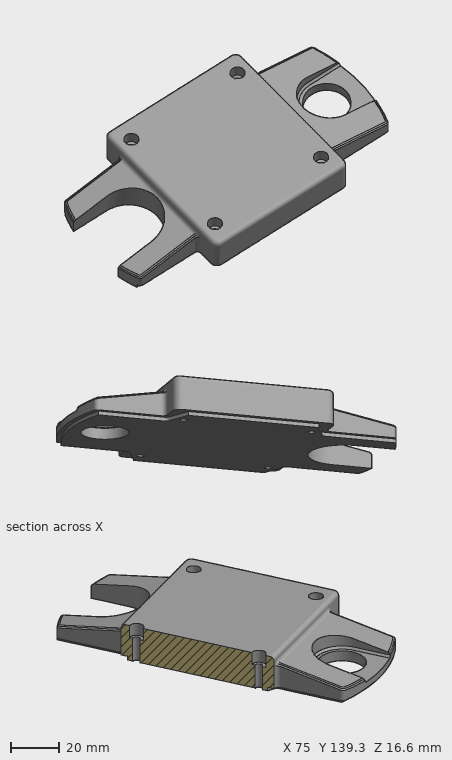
import cadquery as cq
import math

overall_length = 139.3
body_width = 75.0
body_length = 70.2
total_height = 16.6
base_height = 1.7
body_corner_radius = 3.0
body_top_radius = 2.0

arm_width = 51.5
arm_root_height = 12.7
arm_slope_degrees = 10.0
arm_corner_radius = 2.0
arm_chamfer = 0.8
arm_upper_chamfer = arm_chamfer / 2
root_radius = 2.0

slot_width = 30.0
slot_center_y = -51.5

hole_diameter = 20.0
hole_center_y = 53.0
pocket_width = 25.1
pocket_floor_z = 4.7
pocket_chamfer = 1.0

screw_spacing = 56.0
screw_diameter = 3.2
screw_head_diameter = 6.1
screw_head_depth = 5.6

base_width = 70.8
base_straight_length = 57.1
base_neck_length = 68.0
base_arm_width = 48.2
base_end_inset = 2.0

margin = 0.1

end_radius = (overall_length**2 + (slot_width / 2) ** 2) / (2 * overall_length)


def make_body():
    body = cq.Workplane("XY", origin=(0, 0, base_height)).rect(body_width, body_length)
    body = body.extrude(total_height - base_height)
    return body.edges("|Z").fillet(body_corner_radius).faces(">Z").edges().fillet(body_top_radius)


def make_arms():
    """Both arms as one round-ended bar whose top falls away from the body."""
    bar = cq.Workplane("XY", origin=(0, 0, base_height)).rect(arm_width, 2 * end_radius)
    bar = bar.extrude(total_height)
    bar = bar.intersect(cq.Workplane("XY").circle(end_radius).extrude(2 * total_height))
    bar = bar.edges("|Z").fillet(arm_corner_radius)

    slope = math.tan(math.radians(arm_slope_degrees))
    end_height = arm_root_height - slope * (end_radius - body_length / 2)
    side_profile = (
        cq.Workplane("YZ")
        .moveTo(-end_radius, 0)
        .lineTo(end_radius, 0)
        .lineTo(end_radius, end_height)
        .lineTo(body_length / 2, arm_root_height)
        .lineTo(-body_length / 2, arm_root_height)
        .lineTo(-end_radius, end_height)
        .close()
        .extrude(arm_width, both=True)
    )
    bar = bar.intersect(side_profile)
    bar = bar.edges("not (|X or |Z or <Z)").chamfer(arm_chamfer)

    for end in (-1, 1):
        top_normal = cq.Vector(0, end * slope, 1)
        top = bar.faces(cq.selectors.ParallelDirSelector(top_normal))
        bar = top.edges("not |X").chamfer(arm_upper_chamfer)
    return bar


def blend_roots(part):
    """Round the inner corner where each arm meets the end wall of the body."""
    for end in (-1, 1):
        wall_y = end * body_length / 2
        root_edges = cq.selectors.BoxSelector(
            (-arm_width / 2 - margin, wall_y - margin, base_height + margin),
            (arm_width / 2 + margin, wall_y + margin, arm_root_height + margin),
        )
        part = part.edges(root_edges).fillet(root_radius)
    return part


def make_base():
    """Thin base with tapered shoulders, narrower than the body and arms above it."""
    half_arm = base_arm_width / 2
    half_base = base_width / 2
    outline = [
        (half_arm, end_radius),
        (half_arm, base_neck_length / 2),
        (half_base, base_straight_length / 2),
        (half_base, -base_straight_length / 2),
        (half_arm, -base_neck_length / 2),
        (half_arm, -end_radius),
    ]
    mirrored = [(-x, y) for x, y in reversed(outline)]
    base = cq.Workplane("XY").polyline(outline + mirrored).close().extrude(base_height)
    neck_edges = cq.selectors.BoxSelector(
        (-half_arm - margin, -base_neck_length / 2 - margin, -margin),
        (half_arm + margin, base_neck_length / 2 + margin, base_height + margin),
    )
    base = base.edges("|Z").edges(neck_edges).fillet(root_radius)
    round_end = cq.Workplane("XY").circle(end_radius).extrude(base_height)
    inset_end = cq.Workplane("XY").circle(end_radius - base_end_inset).extrude(base_height)
    minus_y_half = cq.Workplane("XY").rect(body_width, 2 * end_radius).extrude(base_height)
    minus_y_half = minus_y_half.translate((0, -end_radius, 0))
    return base.intersect(inset_end.union(round_end.intersect(minus_y_half)))


def make_slot():
    """Round-bottomed slot through the full height, open at the -Y end."""
    slot = cq.Workplane("XY").center(0, slot_center_y).circle(slot_width / 2).extrude(total_height)
    mouth = cq.Workplane("XY").rect(slot_width, end_radius).extrude(total_height)
    return slot.union(mouth.translate((0, slot_center_y - end_radius / 2, 0)))


def make_pocket():
    """U-shaped pocket around the hole, open at the +Y end, with a bevelled floor edge."""
    pocket = (
        cq.Workplane("XY", origin=(0, hole_center_y, pocket_floor_z))
        .moveTo(-pocket_width / 2, end_radius)
        .lineTo(-pocket_width / 2, 0)
        .threePointArc((0, -pocket_width / 2), (pocket_width / 2, 0))
        .lineTo(pocket_width / 2, end_radius)
        .close()
        .extrude(total_height)
    )
    return pocket.faces("<Z").edges().chamfer(pocket_chamfer)


def drill_screw_holes(part):
    return (
        part.faces(">Z")
        .workplane(origin=(0, 0, total_height))
        .rect(screw_spacing, screw_spacing, forConstruction=True)
        .vertices()
        .cboreHole(screw_diameter, screw_head_diameter, screw_head_depth)
    )


hole = cq.Workplane("XY").center(0, hole_center_y).circle(hole_diameter / 2).extrude(total_height)

part = blend_roots(make_body().union(make_arms()))
part = part.union(make_base())
part = part.cut(make_slot()).cut(make_pocket()).cut(hole)
result = drill_screw_holes(part)